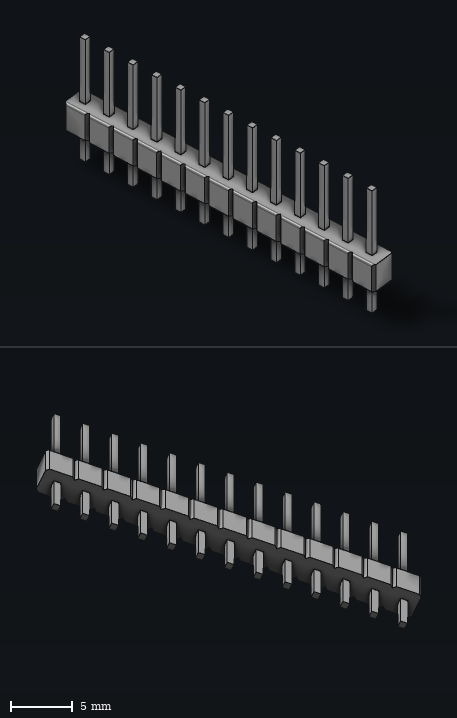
import cadquery as cq

pin_count = 13
body_length = 33.02
body_width = 2.5
body_height = 2.8
pitch = body_length / pin_count

corner_bevel = 0.25
top_rounding = 0.2

pin_side = 0.63
pin_length_above = 6.7
pin_length_below = 3.2
pin_row_offset = -0.05

segment_centres = [(i - (pin_count - 1) / 2) * pitch for i in range(pin_count)]


def segment_block():
    """Plain block for one segment, standing on the XY plane."""
    return cq.Workplane("XY").box(pitch, body_width, body_height, centered=(True, True, False))


def make_segment():
    """Segment with bevelled vertical edges and rounded upper long edges."""
    bevelled = segment_block().edges("|Z").chamfer(corner_bevel)
    rounded = segment_block().edges("|X and >Z").fillet(top_rounding)
    return bevelled.intersect(rounded)


def make_body():
    """Segments joined end to end."""
    segment = make_segment()
    body = segment.translate((segment_centres[0], 0, 0))
    for x in segment_centres[1:]:
        body = body.union(segment.translate((x, 0, 0)))
    return body.clean()


def make_pins():
    """Row of straight square pins."""
    return (
        cq.Workplane("XY", origin=(pin_row_offset, 0, -pin_length_below))
        .pushPoints([(x, 0) for x in segment_centres])
        .rect(pin_side, pin_side)
        .extrude(pin_length_below + body_height + pin_length_above)
    )


result = make_body().union(make_pins())